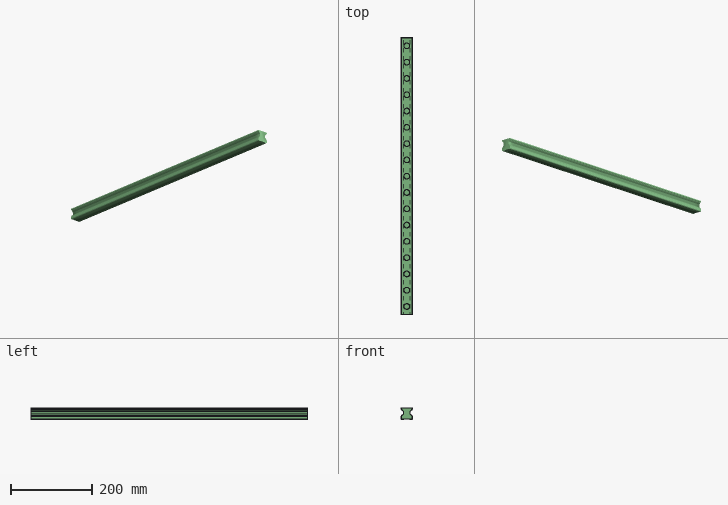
import cadquery as cq
import math

rail_length = 680.0
rail_width = 28.0
rail_height = 28.0

base_chamfer = 1.5
head_chamfer = 0.5

waist_centre_height = 16.5
neck_half_width = 8.5
neck_half_height = 3.25
raceway_outer_half_width = 12.3
raceway_slope = 45.0
step_height = 0.5
lip_slope = 40.0

channel_half_width = 8.5
channel_depth = 0.5

recess_diameter = 14.0
recess_depth = 0.1
recess_pitch = 40.0
recess_count = 17

half_width = rail_width / 2


def rise(run, slope):
    """Height gained over a horizontal run at a slope in degrees."""
    return run * math.tan(math.radians(slope))


def waist_points():
    """Half-width and height from the waist centre, from the neck out to the rail side."""
    raceway_end = neck_half_height + rise(raceway_outer_half_width - neck_half_width, raceway_slope)
    lip_start = raceway_end + step_height
    lip_end = lip_start + rise(half_width - raceway_outer_half_width, lip_slope)
    return [
        (neck_half_width, neck_half_height),
        (raceway_outer_half_width, raceway_end),
        (raceway_outer_half_width, lip_start),
        (half_width, lip_end),
    ]


def right_outline():
    """Right half of the cross-section, from the underside channel up to the top face."""
    channel = [
        (channel_half_width - channel_depth, channel_depth),
        (channel_half_width, 0),
    ]
    base = [
        (half_width - base_chamfer, 0),
        (half_width, base_chamfer),
    ]
    lower_waist = [(x, waist_centre_height - z) for x, z in reversed(waist_points())]
    upper_waist = [(x, waist_centre_height + z) for x, z in waist_points()]
    head = [
        (half_width, rail_height - head_chamfer),
        (half_width - head_chamfer, rail_height),
    ]
    return channel + base + lower_waist + upper_waist + head


def rail_body():
    """Symmetrical rail profile extruded along Y, centred on the origin."""
    right_side = right_outline()
    left_side = [(-x, z) for x, z in reversed(right_side)]
    profile = cq.Workplane("XZ").polyline(right_side + left_side).close()
    return profile.extrude(rail_length / 2, both=True)


def top_recesses():
    """Discs removed from the top face, evenly spaced and centred along the rail."""
    column_spacing = recess_diameter
    return (
        cq.Workplane("XY")
        .workplane(offset=rail_height - recess_depth)
        .rarray(column_spacing, recess_pitch, 1, recess_count)
        .circle(recess_diameter / 2)
        .extrude(recess_depth)
    )


result = rail_body().cut(top_recesses())